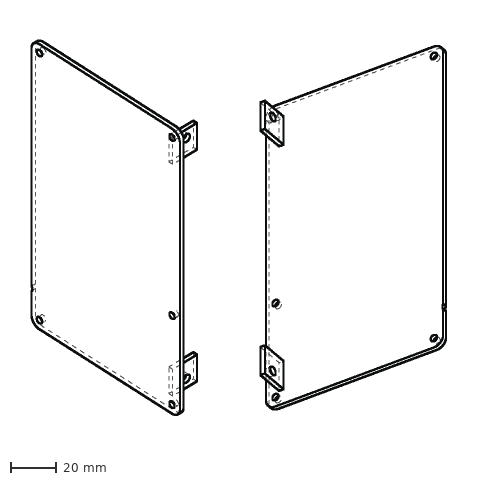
import cadquery as cq

plate_width = 94.0
plate_height = 160.0
thickness = 2.4
corner_radius = 5.0

mount_hole_diameter = 3.3
mount_inset = corner_radius
side_hole_z = 55.0

notch_diameter = 4.2
notch_depth = 0.5
notch_z = 20.0

tab_size = 15.0
tab_right_gap = 7.0
tab_end_gap = 7.5
tab_hole_diameter = 4.2
tab_hole_from_free_edge = 6.5
tab_hole_from_outer_edge = 5.0


def make_plate():
    """Flat plate with four rounded corners, front face at Y = 0."""
    plate = cq.Workplane("XY").box(plate_width, thickness, plate_height, centered=False)
    return plate.edges("|Y").fillet(corner_radius)


def cylinder_along_y(x, z, diameter):
    """Cutter that passes through the plate thickness at (x, z)."""
    center = cq.Vector(x, 0, z)
    direction = cq.Vector(0, 1, 0)
    return cq.Workplane(cq.Solid.makeCylinder(diameter / 2, thickness, center, direction))


def cut_mount_holes(body):
    """Four corner holes and one extra hole along the right side."""
    left_x = mount_inset
    right_x = plate_width - mount_inset
    top_z = plate_height - mount_inset
    hole_places = [
        (left_x, mount_inset),
        (right_x, mount_inset),
        (left_x, top_z),
        (right_x, top_z),
        (right_x, side_hole_z),
    ]
    for x, z in hole_places:
        body = body.cut(cylinder_along_y(x, z, mount_hole_diameter))
    return body


def cut_edge_notch(body):
    """Arc notch whose center lies outside the left edge."""
    center_offset = notch_diameter / 2 - notch_depth
    return body.cut(cylinder_along_y(-center_offset, notch_z, notch_diameter))


def make_tab(bottom_z, hole_z):
    """Square tab behind the plate with one hole along X."""
    left_x = plate_width - tab_right_gap - thickness
    tab = (
        cq.Workplane("XY")
        .box(thickness, tab_size, tab_size, centered=False)
        .translate((left_x, thickness, bottom_z))
    )
    hole_y = thickness + tab_size - tab_hole_from_free_edge
    hole_center = cq.Vector(left_x, hole_y, hole_z)
    hole = cq.Solid.makeCylinder(tab_hole_diameter / 2, thickness, hole_center, cq.Vector(1, 0, 0))
    return tab.cut(cq.Workplane(hole))


def add_tabs(body):
    """Lower and upper tabs, mirrored about the middle of the plate height."""
    lower_hole_z = tab_end_gap + tab_hole_from_outer_edge
    lower_tab = make_tab(tab_end_gap, lower_hole_z)
    upper_tab = make_tab(plate_height - tab_end_gap - tab_size, plate_height - lower_hole_z)
    return body.union(lower_tab).union(upper_tab)


body = make_plate()
body = cut_mount_holes(body)
body = cut_edge_notch(body)
result = add_tabs(body)